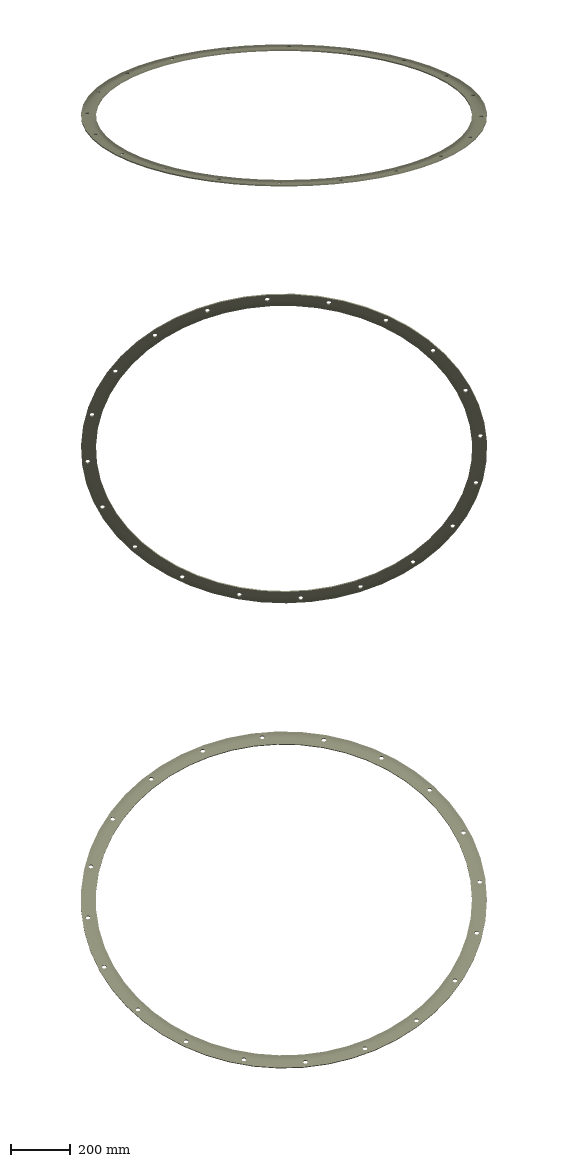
import cadquery as cq

outer_diameter = 1360.0
inner_diameter = 1260.0
thickness = 5.0

bolt_circle_diameter = 1320.0
bolt_hole_diameter = 15.0
bolt_hole_count = 20


def flat_ring():
    """Plain ring lying on the XY plane, centred on the Z axis."""
    return (
        cq.Workplane("XY")
        .circle(outer_diameter / 2)
        .circle(inner_diameter / 2)
        .extrude(thickness)
    )


def bolt_holes():
    """Cylinders to cut as through holes, the first one on the +X axis."""
    return (
        cq.Workplane("XY")
        .polarArray(bolt_circle_diameter / 2, 0, 360, bolt_hole_count)
        .circle(bolt_hole_diameter / 2)
        .extrude(thickness)
    )


result = flat_ring().cut(bolt_holes())